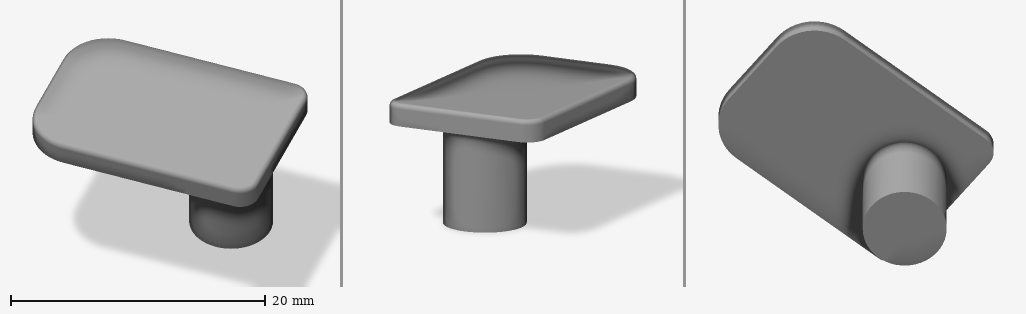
import cadquery as cq

length = 19.6
width = 13.6
plate_thickness = 1.8
left_corner_radius = 3.8
right_corner_radius = 1.5
top_edge_radius = 0.4

total_height = 9.9
pin_diameter = 6.6
pin_center_x = 15.3
pin_length = total_height - plate_thickness


def make_plate():
    """Plate with its left end at X = 0, centred on Y, with its underside at Z = 0."""
    plate = cq.Workplane("XY").box(length, width, plate_thickness, centered=(False, True, False))
    plate = plate.edges("|Z and <X").fillet(left_corner_radius)
    plate = plate.edges("|Z and >X").fillet(right_corner_radius)
    return plate.faces(">Z").edges().fillet(top_edge_radius)


def make_pin():
    """Solid round pin hanging from the underside of the plate."""
    return cq.Workplane("XY").center(pin_center_x, 0).circle(pin_diameter / 2).extrude(-pin_length)


result = make_plate().union(make_pin())